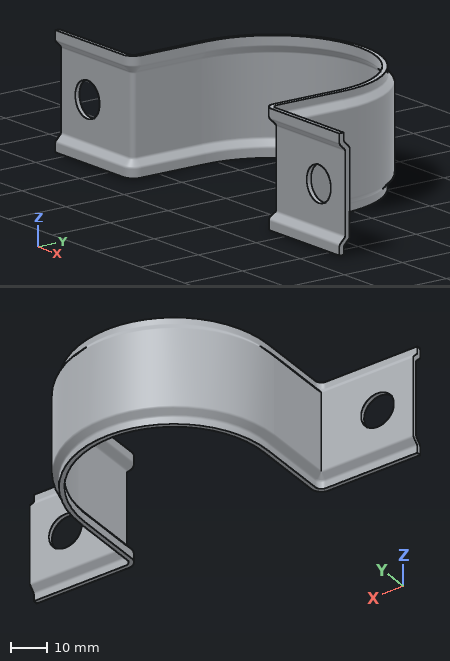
import cadquery as cq
import math

pipe_diameter = 60.3
sheet_thickness = 1.5
bead_offset = 2.0
strap_width = 35.0
overall_length = 129.0
axis_to_foot = 26.0
hole_diameter = 11.0
hole_spacing = 105.0

rim_height = 3.1
step_angle = math.radians(45)
step_fillet = 1.0

half_width = strap_width / 2
section_depth = sheet_thickness + bead_offset
outer_radius = pipe_diameter / 2 + section_depth
foot_back = -axis_to_foot + section_depth
foot_length = overall_length / 2 - outer_radius
leg_length = -foot_back
step_height = bead_offset / math.tan(step_angle)
back_shift = sheet_thickness * math.tan(step_angle / 2)

rim_bend = half_width - rim_height
band_bend = rim_bend - step_height


def strap_section():
    """Sheet cross-section: first axis is depth below the back face, second axis is Z."""
    upper_half = [
        (sheet_thickness, band_bend),
        (section_depth, rim_bend),
        (section_depth, half_width),
        (bead_offset, half_width),
        (bead_offset, rim_bend + back_shift),
        (0, band_bend + back_shift),
    ]
    lower_half = [(depth, -z) for depth, z in reversed(upper_half)]
    outline = upper_half + lower_half
    section = cq.Sketch().polygon(outline + outline[:1])
    return section.vertices("not(>Y or <Y)").fillet(step_fillet)


def section_plane(x, y, depth_direction):
    """Plane at (x, y) with depth along depth_direction and Z as its second axis."""
    normal = cq.Vector(*depth_direction).cross(cq.Vector(0, 0, 1))
    return cq.Workplane(cq.Plane(origin=(x, y, 0), xDir=depth_direction, normal=normal))


def bow():
    """Half ring around the pipe."""
    start = section_plane(outer_radius, 0, (-1, 0, 0)).placeSketch(strap_section())
    return start.revolve(180, (outer_radius, 0), (outer_radius, 1))


def right_side():
    """Straight leg, right-angle bend and foot on the +X side."""
    leg = section_plane(outer_radius, 0, (-1, 0, 0)).placeSketch(strap_section()).extrude(-leg_length)
    bend_start = section_plane(outer_radius, foot_back, (-1, 0, 0)).placeSketch(strap_section())
    bend = bend_start.revolve(90, (0, 0), (0, 1))
    foot = section_plane(outer_radius, foot_back, (0, -1, 0)).placeSketch(strap_section()).extrude(-foot_length)
    return leg.union(bend).union(foot)


def foot_holes():
    """Cutters for the fixing holes, running through both feet along Y."""
    centers = [(-hole_spacing / 2, 0), (hole_spacing / 2, 0)]
    plane = cq.Workplane("XZ", origin=(0, foot_back, 0))
    return plane.pushPoints(centers).circle(hole_diameter / 2).extrude(section_depth)


right = right_side()
left = right.mirror("YZ")
result = bow().union(right).union(left).cut(foot_holes())